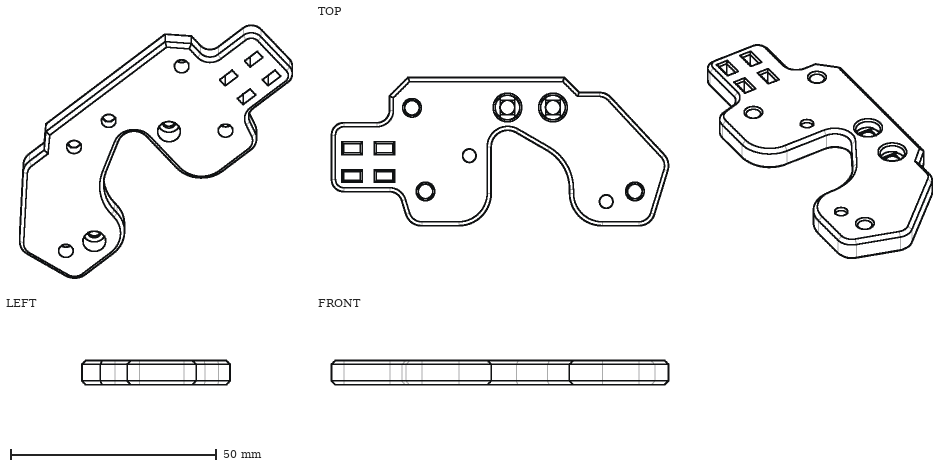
import cadquery as cq
import math

length = 82.2
depth = 36.2
thickness = 6.0
edge_chamfer = 1.0

tab_radius = 3.05
corner_radius = 4.0
throat_radius = 4.0
knee_radius = 10.85
lobe_radius = 8.0
sharp = 0.0

tab_bottom = 8.3
tab_top = 25.15
left_wall_x = 14.1
left_bevel = 4.5
foot_lean = math.radians(73)
left_foot_x = 19.0

throat_left_x = 39.0
throat_right_x = 58.0
throat_roof_start_y = 26.2
throat_roof_slope = math.radians(30)

step_x = 56.8
shoulder_y = 32.55
shoulder_slope = math.radians(47)
tip_y = 15.7

hole_mouth_chamfer = 0.5
screw_diameter = 3.5
screw_centers = [(19.65, 28.8), (22.9, 8.4), (74.0, 8.4)]
pin_diameter = 3.2
pin_land = 1.0
pin_recess_diameter = 5.5
pin_centers = [(33.6, 17.1), (67.0, 5.9)]
head_diameter = 6.0
head_depth = 2.3
bridge_step = 0.25
head_centers = [(42.9, 28.85), (54.0, 28.85)]
window_length = 4.0
window_width = 2.1
window_count_per_side = 2
window_pitch_x = 8.0
window_pitch_y = 6.7
window_first_x = 5.0
window_first_y = 12.2


def along(start, end, distance):
    """Point at the given distance from start toward end."""
    span = math.dist(start, end)
    return tuple(a + (b - a) * distance / span for a, b in zip(start, end))


def rounded_outline(corners):
    """Closed outline through (x, y, radius) corners, each rounded by a tangent arc."""
    outline = None
    for i, (x, y, radius) in enumerate(corners):
        corner = (x, y)
        before = corners[i - 1][:2]
        after = corners[(i + 1) % len(corners)][:2]
        heading_in = math.atan2(y - before[1], x - before[0])
        heading_out = math.atan2(after[1] - y, after[0] - x)
        half_turn = abs(math.remainder(heading_out - heading_in, math.tau)) / 2
        setback = radius * math.tan(half_turn)
        arc_start = along(corner, before, setback)
        if outline is None:
            outline = cq.Workplane("XY").moveTo(*arc_start)
        else:
            outline = outline.lineTo(*arc_start)
        if radius > 0:
            arc_end = along(corner, after, setback)
            chord_middle = tuple((a + b) / 2 for a, b in zip(arc_start, arc_end))
            arc_height = radius * (1 - math.cos(half_turn))
            outline = outline.threePointArc(along(chord_middle, corner, arc_height), arc_end)
    return outline.close()


def plate():
    """Chamfered plate with the tab on the left and the arm on the right."""
    side_normal = foot_lean - math.pi / 2
    shoulder_normal = math.pi / 2 - shoulder_slope
    tip_half_turn = (shoulder_normal - side_normal) / 2
    tip_bisector = (shoulder_normal + side_normal) / 2
    tip_x = length - corner_radius * (1 - math.cos(tip_bisector) / math.cos(tip_half_turn))
    shoulder_x = tip_x - (shoulder_y - tip_y) / math.tan(shoulder_slope)
    right_foot_x = tip_x - tip_y / math.tan(foot_lean)

    tab_root_x = left_foot_x - tab_bottom / math.tan(foot_lean)
    throat_width = throat_right_x - throat_left_x
    throat_roof_end_y = throat_roof_start_y - throat_width * math.tan(throat_roof_slope)
    step_height = depth - shoulder_y

    corners = [
        (0, tab_bottom, tab_radius),
        (tab_root_x, tab_bottom, tab_radius),
        (left_foot_x, 0, corner_radius),
        (throat_left_x, 0, lobe_radius),
        (throat_left_x, throat_roof_start_y, throat_radius),
        (throat_right_x, throat_roof_end_y, knee_radius),
        (throat_right_x, 0, lobe_radius),
        (right_foot_x, 0, corner_radius),
        (tip_x, tip_y, corner_radius),
        (shoulder_x, shoulder_y, corner_radius),
        (step_x + step_height, shoulder_y, sharp),
        (step_x, depth, sharp),
        (left_wall_x + left_bevel, depth, sharp),
        (left_wall_x, depth - left_bevel, sharp),
        (left_wall_x, tab_top, tab_radius),
        (0, tab_top, tab_radius),
    ]
    body = rounded_outline(corners).extrude(thickness)
    return body.faces("<Z or >Z").chamfer(edge_chamfer)


def round_cutter(diameter, bottom, top):
    """Vertical cylinder on the origin axis between two heights."""
    return cq.Workplane("XY").workplane(offset=bottom).circle(diameter / 2).extrude(top - bottom)


def mouth_cutter(diameter):
    """Cone that chamfers a round hole at the top face."""
    mouth = cq.Workplane("XY").workplane(offset=thickness).circle(diameter / 2 + hole_mouth_chamfer)
    return mouth.workplane(offset=-hole_mouth_chamfer).circle(diameter / 2).loft()


def screw_cutter():
    """Through hole with a chamfered mouth at the top face."""
    return round_cutter(screw_diameter, 0, thickness).union(mouth_cutter(screw_diameter))


def pin_cutter():
    """Small through hole with a wider recess from the underside."""
    recess = round_cutter(pin_recess_diameter, 0, thickness - pin_land)
    return round_cutter(pin_diameter, 0, thickness).union(recess)


def head_cutter():
    """Counterbored screw hole whose floor steps from a slot to a square to the round hole."""
    floor = thickness - head_depth
    bore = round_cutter(head_diameter, floor, thickness).union(mouth_cutter(head_diameter))
    slot_block = cq.Workplane("XY").workplane(offset=floor).rect(screw_diameter, head_diameter)
    slot = slot_block.extrude(-bridge_step).intersect(round_cutter(head_diameter, 0, thickness))
    square = cq.Workplane("XY").workplane(offset=floor).rect(screw_diameter, screw_diameter)
    square = square.extrude(-2 * bridge_step)
    return round_cutter(screw_diameter, 0, thickness).union(bore).union(slot).union(square)


def window_cutter():
    """Rectangular through window with a chamfered mouth at the top face."""
    window = cq.Workplane("XY").rect(window_length, window_width).extrude(thickness)
    mouth = (
        cq.Workplane("XY")
        .workplane(offset=thickness)
        .rect(window_length + 2 * hole_mouth_chamfer, window_width + 2 * hole_mouth_chamfer)
        .workplane(offset=-hole_mouth_chamfer)
        .rect(window_length, window_width)
        .loft(ruled=True)
    )
    return window.union(mouth)


def cut_at(body, cutter, centers):
    """Cut one copy of the cutter at each (x, y) center."""
    for x, y in centers:
        body = body.cut(cutter.translate((x, y, 0)))
    return body


window_centers = [
    (window_first_x + column * window_pitch_x, window_first_y + row * window_pitch_y)
    for column in range(window_count_per_side)
    for row in range(window_count_per_side)
]

result = plate()
result = cut_at(result, screw_cutter(), screw_centers)
result = cut_at(result, pin_cutter(), pin_centers)
result = cut_at(result, head_cutter(), head_centers)
result = cut_at(result, window_cutter(), window_centers)